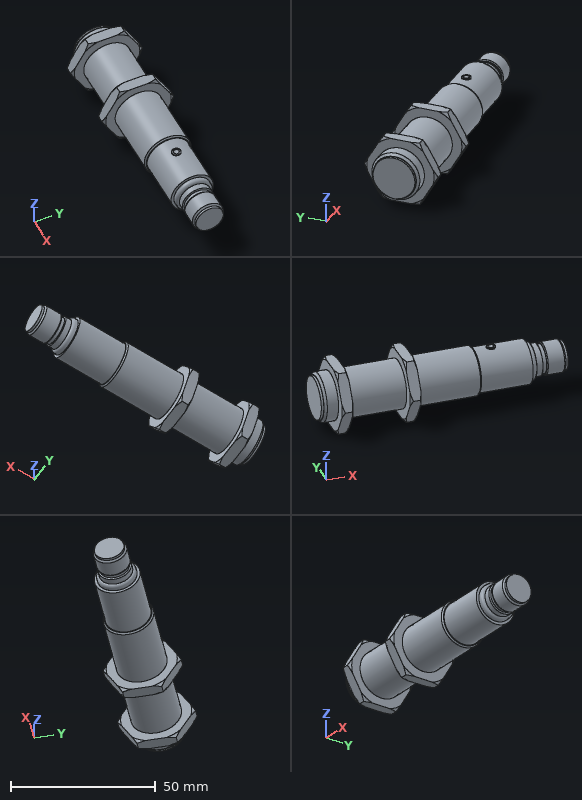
import cadquery as cq
import math

total_length = 91.6
face_radius = 7.9
face_step = 0.9
barrel_radius = 9.0
front_chamfer = 0.9
barrel_end = 58.6
barrel_end_chamfer = 0.55
rear_radius = 8.15
rear_end = 77.7

collar_radius = 7.05
collar_end = 79.8
plug_radius = 5.95
collar_rounding = collar_radius - plug_radius
neck_end = 82.1
neck_taper = 0.2
groove_radius = 5.3
groove_end = 83.6
groove_chamfer = 0.4
tip_radius = 5.3
thread_end = 90.7
thread_end_chamfer = plug_radius - tip_radius

nut_across_flats = 24.0
nut_width = 4.0
nut_starts = [5.95, 31.0]
nut_face_radius = 12.55
nut_chamfer_depth = 0.7

lamp_x = 65.0
lamp_radius = 1.65
lamp_bottom = 7.2
lamp_top = rear_radius + 0.3
dimple_radius = 1.0
dimple_depth = 0.5


def make_lamp():
    """Round lamp standing on Z, with a spherical dimple in its top."""
    lamp = (
        cq.Workplane("XY", origin=(lamp_x, 0, lamp_bottom))
        .circle(lamp_radius)
        .extrude(lamp_top - lamp_bottom)
    )
    sphere_radius = (dimple_radius**2 + dimple_depth**2) / (2 * dimple_depth)
    sphere_centre = lamp_top - dimple_depth + sphere_radius
    dimple = cq.Workplane("XY", origin=(lamp_x, 0, sphere_centre)).sphere(sphere_radius)
    return lamp.cut(dimple)


def make_housing():
    """Turned body with its connector, and the pocket that holds the lamp."""
    arc_lag = collar_rounding * (1 - math.sqrt(0.5))
    profile = (
        cq.Workplane("XY")
        .lineTo(0, face_radius)
        .lineTo(face_step, face_radius)
        .lineTo(face_step, barrel_radius - front_chamfer)
        .lineTo(face_step + front_chamfer, barrel_radius)
        .lineTo(barrel_end - barrel_end_chamfer, barrel_radius)
        .lineTo(barrel_end, barrel_radius - barrel_end_chamfer)
        .lineTo(barrel_end, rear_radius)
        .lineTo(rear_end, rear_radius)
        .lineTo(rear_end, collar_radius)
        .lineTo(collar_end - collar_rounding, collar_radius)
        .threePointArc(
            (collar_end - arc_lag, collar_radius - arc_lag),
            (collar_end, plug_radius),
        )
        .lineTo(neck_end, plug_radius)
        .lineTo(neck_end + neck_taper, groove_radius)
        .lineTo(groove_end, groove_radius)
        .lineTo(groove_end, plug_radius - groove_chamfer)
        .lineTo(groove_end + groove_chamfer, plug_radius)
        .lineTo(thread_end - thread_end_chamfer, plug_radius)
        .lineTo(thread_end, tip_radius)
        .lineTo(total_length, tip_radius)
        .lineTo(total_length, 0)
        .close()
    )
    body = profile.revolve(360, (0, 0, 0), (1, 0, 0))
    lamp_pocket = (
        cq.Workplane("XY", origin=(lamp_x, 0, lamp_bottom))
        .circle(lamp_radius)
        .extrude(barrel_radius - lamp_bottom)
    )
    return body.cut(lamp_pocket)


def make_nut(start):
    """Hexagonal nut with two corners on the Y axis and chamfered on both faces."""
    corner_radius = nut_across_flats / math.sqrt(3)
    end = start + nut_width
    hexagon = (
        cq.Workplane("YZ", origin=(start, 0, 0))
        .polygon(6, 2 * corner_radius)
        .circle(barrel_radius)
        .extrude(nut_width)
    )
    blank = (
        cq.Workplane("XY")
        .moveTo(start, 0)
        .lineTo(start, nut_face_radius)
        .lineTo(start + nut_chamfer_depth, corner_radius)
        .lineTo(end - nut_chamfer_depth, corner_radius)
        .lineTo(end, nut_face_radius)
        .lineTo(end, 0)
        .close()
        .revolve(360, (0, 0, 0), (1, 0, 0))
    )
    return hexagon.intersect(blank)


housing = make_housing()
lamp = make_lamp()
nuts = [make_nut(start) for start in nut_starts]

result = cq.Compound.makeCompound([housing.val(), lamp.val(), *[nut.val() for nut in nuts]])